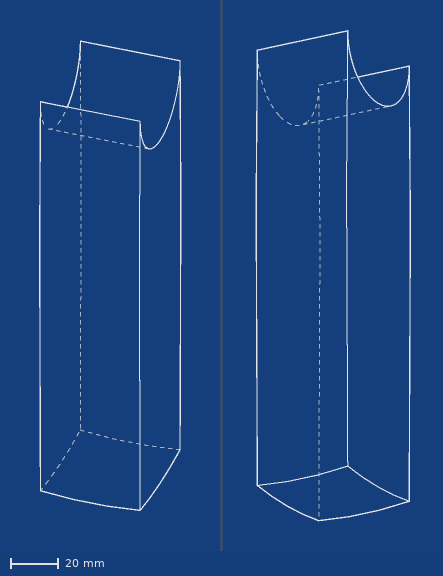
import cadquery as cq
import math

width = 45.0
height = 200.1
end_depth = 50.0
ridge_depth = 52.0
ridge_height = 130.0
ridge_diameter = 20.0

ridge_radius = ridge_diameter / 2
saddle_radius = end_depth / 2
crown_radius = height


def ridge_point(side, angle):
    """Point (Y, Z) on the ridge rounding, at an angle above the outward direction."""
    axis_offset = ridge_depth / 2 - ridge_radius
    y = side * (axis_offset + ridge_radius * math.cos(angle))
    z = ridge_height + ridge_radius * math.sin(angle)
    return (y, z)


def tapered_block():
    """Side profile with two slight tapers on each side, extruded along X."""
    half_end = end_depth / 2
    taper_step = (ridge_depth - end_depth) / 2
    upper_angle = math.atan(taper_step / (height - ridge_height))
    lower_angle = math.atan(taper_step / ridge_height)
    return (
        cq.Workplane("YZ", origin=(-width / 2, 0, 0))
        .moveTo(-half_end, 0)
        .lineTo(half_end, 0)
        .lineTo(*ridge_point(1, -lower_angle))
        .threePointArc(ridge_point(1, 0), ridge_point(1, upper_angle))
        .lineTo(half_end, height)
        .lineTo(-half_end, height)
        .lineTo(*ridge_point(-1, upper_angle))
        .threePointArc(ridge_point(-1, 0), ridge_point(-1, -lower_angle))
        .close()
        .extrude(width)
    )


def saddle_cutter():
    """Cylinder along X, centred on the top end."""
    return (
        cq.Workplane("YZ", origin=(-width / 2, 0, height))
        .circle(saddle_radius)
        .extrude(width)
    )


def crown_ball():
    """Ball whose lowest point touches Z = 0 and rounds the bottom end."""
    return cq.Workplane("XZ", origin=(0, 0, crown_radius)).sphere(crown_radius)


result = tapered_block().cut(saddle_cutter()).intersect(crown_ball())